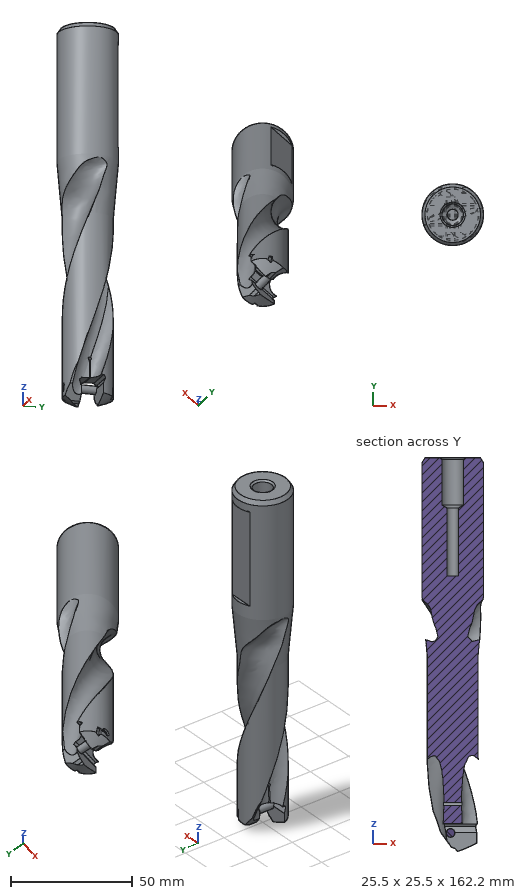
import cadquery as cq
import math

total_height = 162.2
shank_diameter = 25.5
shank_radius = shank_diameter / 2
shank_bottom = 105.1
shank_chamfer_width = 1.3
shank_chamfer_height = 2.0

body_radius = 10.5
neck_bottom = 80.5
point_outer_height = 3.4
point_inner_radius = 4.0

flat_bottom = 111.3
flat_top = 156.5
flat_depth = 1.5

mouth_radius = 5.2
bore_radius = 4.4
bore_depth = 19.5
bore_point_angle = 118.0
channel_radius = 2.3
channel_bottom = 113.5

flute_count = 2
flute_start = -4.9
flute_end = 88.6
flute_exit_end = 106.5
flute_stations = 13
exit_stations = 4
core_radius = 3.7
tip_center_angle = -221.0
tip_half_angle = 30.0
center_twist = 2.034
half_angle_growth = 0.1603
exit_extra_turn = 17.0

relief_top = 22.7
relief_profile = [
    (-2.0, 0),
    (-1.0, 1.1),
    (0.57, 1.8),
    (5.0, 8.0),
    (6.7, 13.0),
    (body_radius, relief_top),
]

slot_half_width = 3.5
slot_wide_half_width = 4.7
slot_top_half_width = 3.7
slot_straight_top = 7.8
slot_wide_height = 10.2
slot_top = 11.4

slit_width = 0.5
slit_y = -0.3
slit_hole_radius = 0.6
slit_hole_height = 19.6

notch_left = -5.7
notch_top_left = -5.0
notch_root = -3.7
notch_right = -3.1
notch_top = 7.6
notch_floor_top = 9.2
notch_floor_bottom = 8.5

screw_x = -0.9
screw_height = 7.6
screw_radius = 1.8
screw_head_y = -9.7
screw_end_y = 7.3
socket_radius = 1.3
socket_depth = 1.6

cut_margin = 8.1


def half_turn_copies(cutter):
    """The cutter and its copies evenly spaced around the Z axis."""
    step = 360.0 / flute_count
    return [cutter.rotate((0, 0, 0), (0, 0, 1), step * i) for i in range(flute_count)]


def blank():
    """Turned outline of shank, tapered neck, body and drill point."""
    outline = [
        (0, 0),
        (point_inner_radius, 0),
        (body_radius, point_outer_height),
        (body_radius, neck_bottom),
        (shank_radius, shank_bottom),
        (shank_radius, total_height - shank_chamfer_height),
        (shank_radius - shank_chamfer_width, total_height),
        (0, total_height),
    ]
    return cq.Workplane("XZ").polyline(outline).close().revolve(360, (0, 0), (0, 1))


def weldon_flat():
    flat_length = flat_top - flat_bottom
    return cq.Workplane("XY").box(
        shank_diameter, shank_radius, flat_length, centered=(True, False, False)
    ).translate((0, shank_radius - flat_depth, flat_bottom))


def coolant_bore():
    """Chamfered blind bore with a conical floor and a narrower channel below it."""
    floor = total_height - bore_depth
    cone_slope = math.tan(math.radians(90 - bore_point_angle / 2))
    outline = [
        (0, channel_bottom),
        (channel_radius, channel_bottom),
        (channel_radius, floor - (bore_radius - channel_radius) * cone_slope),
        (bore_radius, floor),
        (bore_radius, total_height - (mouth_radius - bore_radius)),
        (mouth_radius, total_height),
        (0, total_height),
    ]
    return cq.Workplane("XZ").polyline(outline).close().revolve(360, (0, 0), (0, 1))


def flute_section(height, root_radius, extra_turn=0.0):
    """Circle whose innermost point is at root_radius and whose chord spans the flute opening."""
    half_angle = math.radians(tip_half_angle + half_angle_growth * height)
    edge_x = body_radius * math.cos(half_angle)
    edge_y = body_radius * math.sin(half_angle)
    chord_depth = edge_x - core_radius
    radius = (chord_depth**2 + edge_y**2) / (2 * chord_depth)
    turn = math.radians(tip_center_angle + center_twist * height + extra_turn)
    distance = root_radius + radius
    center = cq.Vector(distance * math.cos(turn), distance * math.sin(turn), height)
    return cq.Wire.makeCircle(radius, center, cq.Vector(0, 0, 1))


def flute():
    """Loft of turning circles that keep to the core, then climb out through the neck."""
    sections = []
    for i in range(flute_stations):
        height = flute_start + (flute_end - flute_start) * i / (flute_stations - 1)
        sections.append(flute_section(height, core_radius))
    for i in range(1, exit_stations + 1):
        travel = i / exit_stations
        height = flute_end + (flute_exit_end - flute_end) * travel
        root_radius = core_radius + (shank_radius - core_radius) * travel
        sections.append(flute_section(height, root_radius, exit_extra_turn * travel))
    return cq.Workplane(cq.Solid.makeLoft(sections))


def point_relief():
    """Prism that relieves the inner corner and the cutting side of the -Y land."""
    far_x = body_radius + cut_margin
    below = [(far_x, relief_top), (far_x, -cut_margin), (relief_profile[0][0], -cut_margin)]
    outline = relief_profile + below
    return cq.Workplane("XZ").polyline(outline).close().extrude(far_x)


def insert_slot():
    """Slot with flared upper walls and a narrowed top."""
    right_side = [
        (slot_half_width, -cut_margin),
        (slot_half_width, slot_straight_top),
        (slot_wide_half_width, slot_wide_height),
        (slot_top_half_width, slot_top),
    ]
    left_side = [(-y, z) for y, z in reversed(right_side)]
    return cq.Workplane("YZ").polyline(right_side + left_side).close().extrude(shank_diameter, both=True)


def clamping_slit():
    slit_length = slit_hole_height - slot_straight_top
    slit = cq.Workplane("XY").box(
        shank_diameter, slit_width, slit_length, centered=(True, True, False)
    ).translate((0, slit_y, slot_straight_top))
    hole = cq.Workplane("YZ").center(slit_y, slit_hole_height).circle(slit_hole_radius)
    return slit.union(hole.extrude(shank_diameter, both=True))


def rim_notch():
    """Tapered groove in the rim of the -Y land, deepest at the tip."""

    def section(height, left_x, root_y):
        outer_y = -body_radius - cut_margin
        corners = [(left_x, outer_y), (left_x, root_y), (notch_root, root_y), (notch_right, outer_y)]
        return cq.Wire.makePolygon([cq.Vector(x, y, height) for x, y in corners], close=True)

    bottom = section(0, notch_left, -notch_floor_bottom)
    top = section(notch_top, notch_top_left, -notch_floor_top)
    return cq.Workplane(cq.Solid.makeLoft([bottom, top], True))


def rod_along_y(radius, start_y, end_y):
    plane = cq.Plane(origin=(screw_x, start_y, screw_height), xDir=(1, 0, 0), normal=(0, 1, 0))
    return cq.Workplane(plane).circle(radius).extrude(end_y - start_y)


def make_holder():
    holder = blank().cut(weldon_flat()).cut(coolant_bore())
    for cutter in (flute(), point_relief(), rim_notch()):
        for copy in half_turn_copies(cutter):
            holder = holder.cut(copy)
    holder = holder.cut(insert_slot()).cut(clamping_slit())
    return holder.cut(rod_along_y(screw_radius, -shank_radius, screw_end_y))


def make_screw():
    screw = rod_along_y(screw_radius, screw_head_y, screw_end_y)
    return screw.cut(rod_along_y(socket_radius, screw_head_y, screw_head_y + socket_depth))


holder = make_holder()
screw = make_screw()
result = cq.Compound.makeCompound([holder.val(), screw.val()])